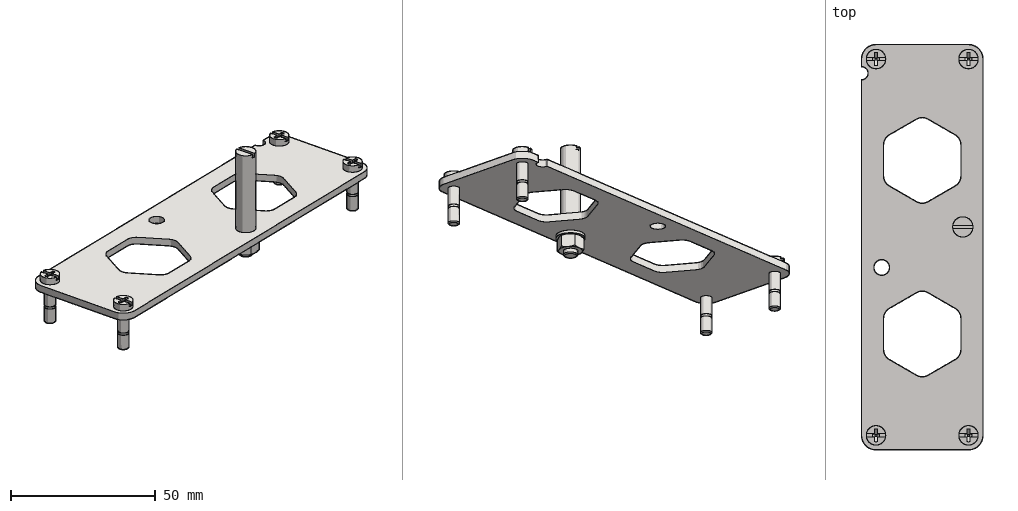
import cadquery as cq
import math

overall_height = 46.0

plate_width = 42.0
plate_length = 140.0
plate_thickness = 2.7
plate_corner_radius = 5.0

window_across_flats = 26.6
window_corner_radius = 3.9
window_offset_y = 30.0

post_x = 14.0
post_y = 7.0
hole_diameter = 5.3

notch_radius = 2.2
notch_from_end = 10.0

screw_inset = 5.0
head_diameter = 6.7
head_height = 2.5
shank_diameter = 4.0
screw_depth = 16.1
shank_chamfer = 0.4
groove_top_depth = 9.4
groove_width = 0.8
groove_radial_depth = 0.1
cross_length = 4.5
cross_width = 1.0
cross_depth = 2.2
cross_taper = 40.0

slot_width = 1.1
slot_depth = 1.3

post_diameter = 7.0
post_height = overall_height - screw_depth
washer_diameter = 10.1
washer_thickness = 1.0
nut_across_flats = 8.3
nut_height = 4.8
nut_chamfer_angle = 30.0
stud_diameter = 5.0
stud_depth = 10.2
stud_chamfer = 0.4


def hexagon(workplane, across_flats):
    """Hexagon with two of its corners on the Y direction."""
    return workplane.transformed(rotate=(0, 0, 90)).polygon(6, across_flats / math.cos(math.pi / 6))


def cylinder(diameter, bottom, top):
    return cq.Workplane("XY").workplane(offset=bottom).circle(diameter / 2).extrude(top - bottom)


def driver_slot(diameter, top):
    """Cutter for a slot along X across a round top face."""
    return cq.Workplane("XY").workplane(offset=top).rect(2 * diameter, slot_width).extrude(-slot_depth)


def make_plate():
    """Plate with its top face at Z = 0."""
    plate = cq.Workplane("XY").rect(plate_width, plate_length).extrude(-plate_thickness)
    plate = plate.edges("|Z").fillet(plate_corner_radius)
    for y in (-window_offset_y, window_offset_y):
        window = hexagon(cq.Workplane("XY").center(0, y), window_across_flats).extrude(-plate_thickness)
        plate = plate.cut(window.edges("|Z").fillet(window_corner_radius))
    hole = cylinder(hole_diameter, -plate_thickness, 0).translate((-post_x, -post_y, 0))
    notch = cylinder(2 * notch_radius, -plate_thickness, 0)
    notch = notch.translate((-plate_width / 2, plate_length / 2 - notch_from_end, 0))
    return plate.cut(hole).cut(notch)


def cross_recess():
    """Cutter for a cross recess narrowing downwards from the head top."""
    top = cq.Workplane("XY").workplane(offset=head_height)
    along_x = top.rect(cross_length, cross_width).extrude(-cross_depth)
    along_y = top.rect(cross_width, cross_length).extrude(-cross_depth)
    cone = top.circle(cross_length / 2).extrude(-cross_depth, taper=cross_taper)
    return along_x.union(along_y).intersect(cone)


def make_screw():
    """Slotted cross-recess screw whose head rests on Z = 0."""
    shank = cylinder(shank_diameter, -screw_depth, 0).faces("<Z").chamfer(shank_chamfer)
    groove_bottom = -groove_top_depth - groove_width
    groove = cylinder(2 * shank_diameter, groove_bottom, -groove_top_depth)
    groove = groove.cut(cylinder(shank_diameter - 2 * groove_radial_depth, groove_bottom, -groove_top_depth))
    head = cylinder(head_diameter, 0, head_height)
    head = head.cut(driver_slot(head_diameter, head_height)).cut(cross_recess())
    return shank.cut(groove).union(head)


def make_nut(top):
    """Nut hanging below a given level, its corners bevelled at both ends by a cone."""
    nut = hexagon(cq.Workplane("XY").workplane(offset=top), nut_across_flats).extrude(-nut_height)
    corner_diameter = nut_across_flats / math.cos(math.pi / 6)
    bevel_width = (corner_diameter - nut_across_flats) / 2
    bevel_height = bevel_width * math.tan(math.radians(nut_chamfer_angle))
    envelope = cylinder(corner_diameter, top - nut_height, top)
    envelope = envelope.faces("<Z or >Z").edges().chamfer(bevel_height, bevel_width)
    return nut.intersect(envelope)


def make_post():
    """Slotted post standing on Z = 0, held by a washer and nut below the plate."""
    washer_bottom = -plate_thickness - washer_thickness
    post = cylinder(post_diameter, 0, post_height).cut(driver_slot(post_diameter, post_height))
    stud = cylinder(stud_diameter, -stud_depth, 0).faces("<Z").chamfer(stud_chamfer)
    washer = cylinder(washer_diameter, washer_bottom, -plate_thickness)
    return post.union(stud).union(washer).union(make_nut(washer_bottom))


result = make_plate().union(make_post().translate((post_x, post_y, 0)))
for side_x in (-1, 1):
    for side_y in (-1, 1):
        x = side_x * (plate_width / 2 - screw_inset)
        y = side_y * (plate_length / 2 - screw_inset)
        result = result.union(make_screw().translate((x, y, 0)))